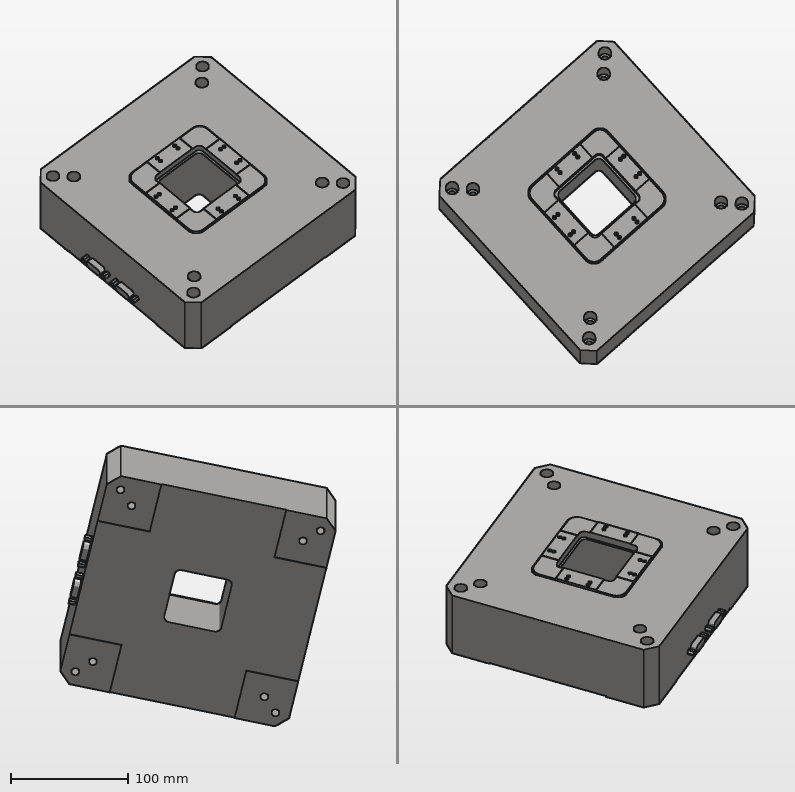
import cadquery as cq
import math

body_side = 200.0
body_height = 62.5
corner_chamfer = 10.0

channel_width = 109.0
channel_depth = 0.8

mount_offsets = (75.0, 87.5)
mount_hole_diameter = 6.5
counterbore_diameter = 11.0
counterbore_depth = 31.3

frame_side = 86.5
frame_corner_radius = 9.0
frame_height = 0.8
gap_width = 1.0
gap_depth = 2.0
pad_width = 38.0
pad_height = 1.5
overall_height = body_height + pad_height

window_side = 49.8
window_corner_radius = 5.0
ledge_side = 54.1
ledge_corner_radius = 4.5
ledge_depth = 6.2

pin_hole_diameter = 1.6
pin_countersink_diameter = 3.0
pin_hole_depth = 4.1
pin_hole_side_offset = 10.0
pin_hole_distances = (35.8, 39.7)

connector_length = 5.8
connector_offset = 18.0
connector_z = 14.8
shell_width = 18.0
shell_height = 7.8
shell_slant = 10.0
shell_top_radius = 2.9
shell_bottom_radius = 4.5
post_spacing = 25.1
post_across_flats = 4.5


def rounded_prism(side, radius, bottom, top):
    """Square prism with rounded vertical edges between two heights."""
    prism = cq.Workplane("XY").workplane(offset=bottom).rect(side, side).extrude(top - bottom)
    return prism.edges("|Z").fillet(radius)


def housing():
    block = cq.Workplane("XY").rect(body_side, body_side).extrude(body_height)
    block = block.edges("|Z").chamfer(corner_chamfer)
    for size_x, size_y in ((channel_width, body_side), (body_side, channel_width)):
        channel = cq.Workplane("XY").rect(size_x, size_y).extrude(channel_depth)
        block = block.cut(channel)
    return block


def mounting_points():
    return [
        (sign_x * offset, sign_y * offset)
        for offset in mount_offsets
        for sign_x in (-1, 1)
        for sign_y in (-1, 1)
    ]


def frame():
    """Low rounded frame plus the four pads, which end flush with the frame sides."""
    low_frame = rounded_prism(frame_side, frame_corner_radius, body_height, body_height + frame_height)
    pads = cq.Workplane("XY").workplane(offset=body_height).rect(frame_side, pad_width).extrude(pad_height)
    crossing_pads = pads.rotate((0, 0, 0), (0, 0, 1), 90)
    return low_frame.union(pads).union(crossing_pads)


def frame_gap():
    """Narrow groove in the housing top, all round the frame."""
    floor_z = body_height - gap_depth
    outer_side = frame_side + 2 * gap_width
    outer = rounded_prism(outer_side, frame_corner_radius, floor_z, body_height)
    return outer.cut(rounded_prism(frame_side, frame_corner_radius, floor_z, body_height))


def window():
    opening = rounded_prism(window_side, window_corner_radius, 0, overall_height)
    ledge_z = body_height + frame_height - ledge_depth
    return opening.union(rounded_prism(ledge_side, ledge_corner_radius, ledge_z, overall_height))


def pin_holes():
    """Four blind holes with 90-degree countersinks in each of the four pads."""
    points = [
        (side * pin_hole_side_offset, distance)
        for side in (-1, 1)
        for distance in pin_hole_distances
    ]
    hole_radius = pin_hole_diameter / 2
    countersink_radius = pin_countersink_diameter / 2
    countersink_depth = countersink_radius - hole_radius
    one_hole = (
        cq.Workplane("XZ")
        .polyline([
            (0, 0),
            (countersink_radius, 0),
            (hole_radius, -countersink_depth),
            (hole_radius, -pin_hole_depth),
            (0, -pin_hole_depth),
        ])
        .close()
        .revolve(360, (0, 0, 0), (0, 1, 0))
    )
    one_pad = cq.Workplane("XY")
    for x, y in points:
        one_pad = one_pad.add(one_hole.translate((x, y, overall_height)))
    one_pad = one_pad.combine()
    holes = one_pad
    for angle in (90, 180, 270):
        holes = holes.union(one_pad.rotate((0, 0, 0), (0, 0, 1), angle))
    return holes


def connector(center_x):
    """D-shaped shell, wider at its top, with a hexagonal post on each side."""
    face = cq.Workplane("XZ", origin=(center_x, -body_side / 2, connector_z))
    top_half = shell_width / 2
    bottom_half = top_half - shell_height * math.tan(math.radians(shell_slant))
    half_height = shell_height / 2
    shell = (
        face.polyline([
            (-top_half, half_height),
            (top_half, half_height),
            (bottom_half, -half_height),
            (-bottom_half, -half_height),
        ])
        .close()
        .extrude(connector_length)
        .edges("|Y and >Z")
        .fillet(shell_top_radius)
        .edges("|Y and <Z")
        .fillet(shell_bottom_radius)
    )
    across_corners = post_across_flats / math.cos(math.radians(30))
    posts = (
        face.pushPoints([(-post_spacing / 2, 0), (post_spacing / 2, 0)])
        .polygon(6, across_corners)
        .extrude(connector_length)
    )
    return shell.union(posts)


result = housing()
result = (
    result.faces(">Z")
    .workplane(origin=(0, 0, body_height))
    .pushPoints(mounting_points())
    .cboreHole(mount_hole_diameter, counterbore_diameter, counterbore_depth)
)
result = result.cut(frame_gap()).union(frame()).cut(window()).cut(pin_holes())
for connector_x in (-connector_offset, connector_offset):
    result = result.union(connector(connector_x))